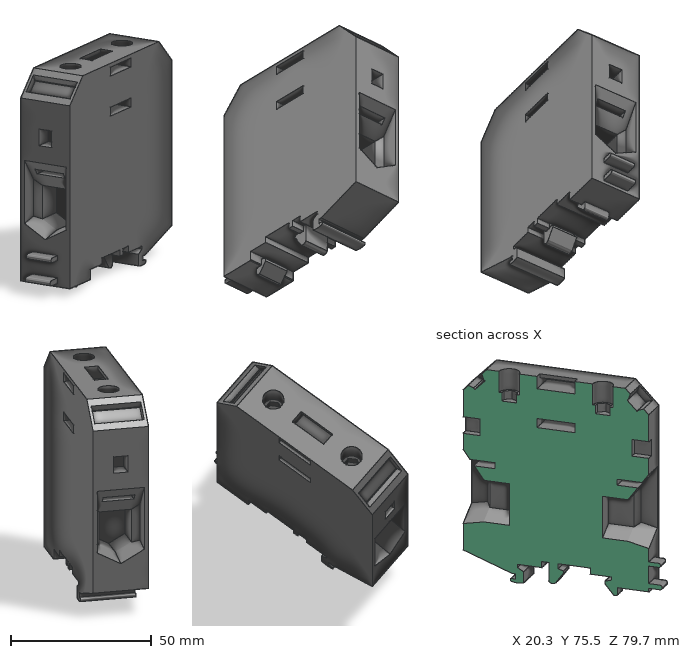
import cadquery as cq
import math


width = 20.3
length = 70.4
height = 79.7
corner_cut = 8.9
mid_y = length / 2

foot_z = 3.35
rail_z = 7.1
recess_z = 9.4
back_corner_z = 9.8

front_foot_y = 14.35
front_foot_corner = 0.3
recess_front_y = 22.3
recess_back_y = 40.6
tab_front_y = 34.6
tab_back_y = 36.7

hook_front_y = 47.4
hook_notch_y = 49.7
hook_back_y = 50.6
hook_tip_z = 4.7
hook_notch_z = 6.05
slope_end_y = 51.8
nub_y = 51.9
nub_radius = 0.6
nub_z = 0.95
hook_edge_z = 0.4

clip_width = 10.2
clip_embed = 1.6
middle_clip_stem_front_y = 34.35
middle_clip_stem_back_y = 38.0
middle_clip_nose_y = 32.3
middle_clip_shoulder_z = 7.65
middle_clip_nose_height = 0.9
middle_clip_tip_back = (middle_clip_stem_back_y, 2.5)
middle_clip_tip_low = (36.8, 1.6)
middle_clip_tip_front = (35.2, 2.15)
front_clip_front_y = 11.9
front_clip_nose_y = 16.65
front_clip_toe_y = 13.3
front_clip_toe_z = 0.2
front_clip_nose_z = 4.15
front_clip_nose_height = 1.2
front_clip_shoulder_z = 6.05
front_clip_edge_radius = 0.7
fingers = [
    (4.5, 13.15, 1.75),
    (5.1, 4.7, 2.0),
]

pocket_width = 18.1
pocket_opening = 7.0
pocket_taper_depth = 2.0
pocket_taper = 25.0
pocket_depth = 2.6

window_length = 14.2
window_height = 3.3
upper_window_z = 75.0
lower_window_z = 60.25
top_slot_width = 5.0
test_hole_width = 5.3
test_hole_z = 54.3
test_hole_height = 6.1
test_hole_depth = 6.4

screw_spacing = 35.5
screw_hole_diameter = 7.5
screw_hole_depth = 8.0
hex_across_flats = 5.3
hex_depth = 3.2

entry_width = 17.1
entry_top_z = 48.0
entry_tip_z = 20.0
vee_slope = 0.55
straight_depth = 6.1
funnel_depth = 7.9
roof_drop = 10.7
floor_rise = 1.7
bore_width = 11.9
bore_depth = 17.5
roof_slot_width = 11.6
roof_slot_z = 42.5
roof_slot_height = 2.1
roof_slot_depth = 11.95


def box(x_size, y_start, y_size, z_start, z_size):
    """Box centred on X = 0."""
    block = cq.Workplane("XY").box(x_size, y_size, z_size, centered=(True, False, False))
    return block.translate((0, y_start, z_start))


def mirrored(shape):
    """Copy of a front feature at the back of the housing."""
    return shape.mirror("XZ", (0, mid_y, 0))


def make_housing():
    """Full-width body with the fixed hook, from one side outline."""
    hook_mid_y = (hook_front_y + nub_y) / 2
    profile = (
        cq.Workplane("YZ")
        .moveTo(0, foot_z)
        .lineTo(0, height - corner_cut)
        .lineTo(corner_cut, height)
        .lineTo(length - corner_cut, height)
        .lineTo(length, height - corner_cut)
        .lineTo(length, back_corner_z)
        .lineTo(slope_end_y, foot_z)
        .lineTo(hook_back_y, foot_z)
        .lineTo(hook_back_y, nub_z + nub_radius)
        .lineTo(nub_y, nub_z + nub_radius)
        .threePointArc((nub_y + nub_radius, nub_z), (nub_y, nub_z - nub_radius))
        .threePointArc((hook_mid_y, 0), (hook_front_y, hook_edge_z))
        .lineTo(hook_front_y, hook_tip_z)
        .lineTo(hook_notch_y, hook_notch_z)
        .lineTo(hook_notch_y, rail_z)
        .lineTo(recess_back_y, rail_z)
        .lineTo(recess_back_y, recess_z)
        .lineTo(tab_back_y, recess_z)
        .lineTo(tab_back_y, rail_z)
        .lineTo(tab_front_y, rail_z)
        .lineTo(tab_front_y, recess_z)
        .lineTo(recess_front_y, recess_z)
        .lineTo(recess_front_y, rail_z)
        .lineTo(front_foot_y, rail_z)
        .lineTo(front_foot_y, foot_z + front_foot_corner)
        .lineTo(front_foot_y - front_foot_corner, foot_z)
        .close()
    )
    return profile.extrude(width / 2, both=True)


def make_middle_clip():
    """Clip hanging from the recess roof, with its nose pointing to the front."""
    root_z = recess_z + clip_embed
    profile = (
        cq.Workplane("YZ")
        .moveTo(middle_clip_stem_back_y, root_z)
        .lineTo(*middle_clip_tip_back)
        .threePointArc(middle_clip_tip_low, middle_clip_tip_front)
        .lineTo(middle_clip_nose_y, rail_z - middle_clip_nose_height)
        .lineTo(middle_clip_nose_y, rail_z)
        .lineTo(middle_clip_stem_front_y, middle_clip_shoulder_z)
        .lineTo(middle_clip_stem_front_y, root_z)
        .close()
    )
    return profile.extrude(clip_width / 2, both=True)


def make_front_clip():
    """Clip under the front foot, with its nose reaching under the rail edge."""
    radius = front_clip_edge_radius
    profile = (
        cq.Workplane("YZ")
        .moveTo(front_clip_front_y, foot_z + clip_embed)
        .lineTo(front_clip_front_y, front_clip_toe_z + radius)
        .radiusArc((front_clip_front_y + radius, front_clip_toe_z), -radius)
        .lineTo(front_clip_toe_y, front_clip_toe_z)
        .lineTo(front_clip_nose_y, front_clip_nose_z)
        .lineTo(front_clip_nose_y, front_clip_nose_z + front_clip_nose_height)
        .lineTo(front_foot_y, front_clip_shoulder_z)
        .lineTo(front_foot_y - clip_embed, front_clip_shoulder_z)
        .close()
    )
    return profile.extrude(clip_width / 2, both=True)


def make_finger(projection, z_start, thickness):
    """Flat finger with a fully rounded front end."""
    radius = thickness / 2
    profile = (
        cq.Workplane("YZ")
        .moveTo(clip_embed, z_start)
        .lineTo(radius - projection, z_start)
        .threePointArc((-projection, z_start + radius), (radius - projection, z_start + thickness))
        .lineTo(clip_embed, z_start + thickness)
        .close()
    )
    return profile.extrude(clip_width / 2, both=True)


def make_marker_pocket():
    """Pocket square to the front corner cut; its lips taper, then run straight to the floor."""
    half_open = pocket_opening / 2
    half_floor = half_open - pocket_taper_depth * math.tan(math.radians(pocket_taper))
    pocket = (
        cq.Workplane("YZ")
        .polyline([
            (half_open, 0),
            (half_floor, -pocket_taper_depth),
            (half_floor, -pocket_depth),
            (-half_floor, -pocket_depth),
            (-half_floor, -pocket_taper_depth),
            (-half_open, 0),
        ])
        .close()
        .extrude(pocket_width / 2, both=True)
    )
    pocket = pocket.rotate((0, 0, 0), (1, 0, 0), 45)
    return pocket.translate((0, corner_cut / 2, height - corner_cut / 2))


def make_screw_hole(y):
    """Round shaft down to the screw head, with its hexagon socket below."""
    hole = cq.Workplane("XY", origin=(0, y, height)).circle(screw_hole_diameter / 2)
    hole = hole.extrude(-screw_hole_depth)
    hex_across_corners = hex_across_flats / math.cos(math.radians(30))
    socket = cq.Workplane("XY", origin=(0, y, height)).polygon(6, hex_across_corners)
    return hole.union(socket.extrude(-screw_hole_depth - hex_depth))


def vee_section(section_width, top_z, tip_z):
    """Corners of an upright section with a V-shaped floor."""
    half = section_width / 2
    side_z = tip_z + half * vee_slope
    return [(-half, top_z), (half, top_z), (half, side_z), (0, tip_z), (-half, side_z)]


def make_wire_entry():
    """Funnel narrowing into a straight bore, with a slot above in the slanted roof."""
    inner_top_z = entry_top_z - roof_drop
    inner_tip_z = entry_tip_z + floor_rise
    funnel = (
        cq.Workplane("XZ")
        .polyline(vee_section(entry_width, entry_top_z, entry_tip_z))
        .close()
        .workplane(offset=-funnel_depth)
        .polyline(vee_section(entry_width, inner_top_z, inner_tip_z))
        .close()
        .loft(ruled=True)
    )
    plan = (
        cq.Workplane("XY")
        .polyline([
            (-entry_width / 2, 0),
            (entry_width / 2, 0),
            (entry_width / 2, straight_depth),
            (bore_width / 2, funnel_depth),
            (-bore_width / 2, funnel_depth),
            (-entry_width / 2, straight_depth),
        ])
        .close()
        .extrude(height)
    )
    bore = (
        cq.Workplane("XZ", origin=(0, funnel_depth, 0))
        .polyline(vee_section(bore_width, inner_top_z, inner_tip_z))
        .close()
        .extrude(funnel_depth - bore_depth)
    )
    slot_start = funnel_depth * (entry_top_z - roof_slot_z - roof_slot_height) / roof_drop
    roof_slot = box(roof_slot_width, slot_start, roof_slot_depth - slot_start, roof_slot_z, roof_slot_height)
    return funnel.intersect(plan).union(bore).union(roof_slot)


body = make_housing().union(make_middle_clip()).union(make_front_clip())
for projection, z_start, thickness in fingers:
    body = body.union(make_finger(projection, z_start, thickness))

window_y = mid_y - window_length / 2
for sill_z in (upper_window_z, lower_window_z):
    body = body.cut(box(width, window_y, window_length, sill_z, window_height))
body = body.cut(box(top_slot_width, window_y, window_length, upper_window_z, height - upper_window_z))

for side in (-1, 1):
    body = body.cut(make_screw_hole(mid_y + side * screw_spacing / 2))

test_hole = box(test_hole_width, 0, test_hole_depth, test_hole_z, test_hole_height)
for cutter in (make_marker_pocket(), test_hole, make_wire_entry()):
    body = body.cut(cutter).cut(mirrored(cutter))

result = body